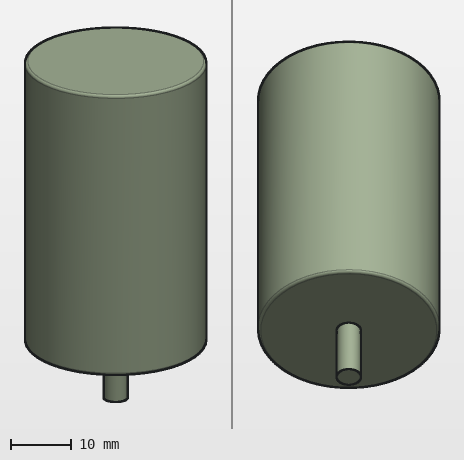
import cadquery as cq

total_height = 60.0
body_diameter = 30.0

shaft_diameter = 4.0
shaft_length = 10.0

rim_radius = 0.5

body_height = total_height - shaft_length

body = cq.Workplane("XY").circle(body_diameter / 2).extrude(body_height)
body = body.faces("<Z or >Z").edges().fillet(rim_radius)

shaft = cq.Workplane("XY").circle(shaft_diameter / 2).extrude(-shaft_length)

result = body.union(shaft)